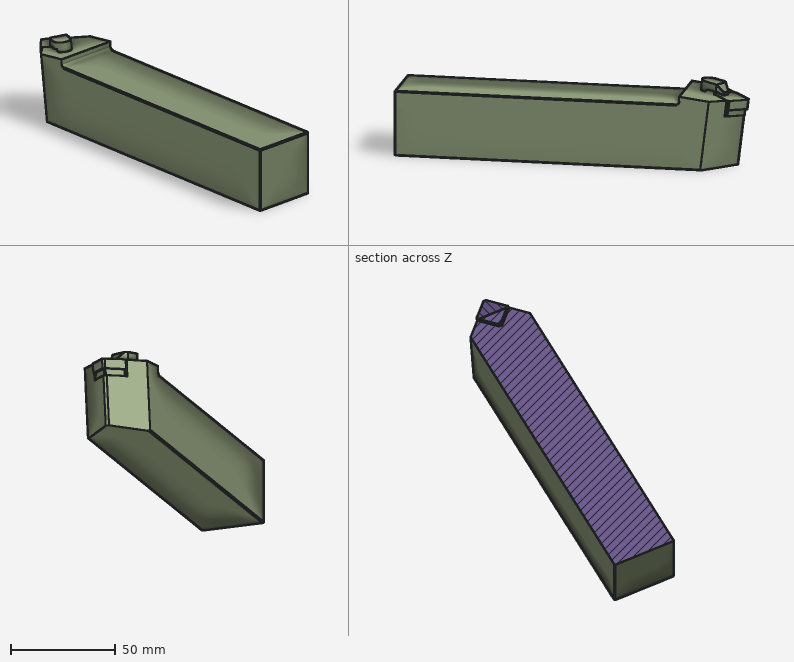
import cadquery as cq
import math

length = 169.7
shank_side = 32.0
half_side = shank_side / 2
edge_chamfer = 0.5

tilt = 7.0
tip_height = 32.2
crest_x = 30.7
step_radius = 1.5

insert_side = 12.9
insert_height = 4.8
insert_corner = 1.0
shim_side = 11.2
shim_height = 3.2
shim_corner = 0.7
insert_center = (insert_side - insert_corner) / math.sqrt(2)
seat_depth = insert_height + shim_height

nose_setback = 1.2
nose_half_width = 0.8
envelope_overshoot = 1.7
envelope_depth = 67.9

clamp_angle = -23.0
clamp_width = 8.8
clamp_height = 5.0
clamp_offset = 3.0
nose_start = 10.9
nose_height = 1.5
nose_right = 1.5
nose_left = 2.4
shoulder = 14.3
taper_end_right = 15.6
clamp_end = 24.8
gap_start_x = 12.2
gap_end_x = 21.7
gap_height = 1.4
gap_front_ramp = 3.2
gap_rear_ramp = 1.4

seat_plane = cq.Plane(origin=(0, 0, tip_height), xDir=(1, 0, 0), normal=(0, 0, 1)).rotated((0, -tilt, 0))


def square_plate(side, height, corner, depth):
    """Square plate, one corner toward the tip, its upper face at the given depth below the head."""
    return (
        cq.Workplane(seat_plane)
        .center(insert_center, 0)
        .transformed(rotate=(0, 0, 45), offset=(0, 0, -depth))
        .rect(side, side)
        .extrude(-height)
        .edges(cq.selectors.ParallelDirSelector(seat_plane.zDir))
        .chamfer(corner)
    )


def make_shank():
    """Square bar with eased long edges and rear end."""
    bar = cq.Workplane("XY").box(length, shank_side, shank_side, centered=(False, True, False))
    return bar.edges("|X or >X").chamfer(edge_chamfer)


def make_raised_head():
    """Wedge above the shank, with a tilted upper face and a concave rear step."""
    base_z = half_side
    step_end_x = crest_x + step_radius
    crest_z = tip_height + crest_x * math.tan(math.radians(tilt))
    return (
        cq.Workplane("XZ")
        .moveTo(0, base_z)
        .lineTo(0, tip_height)
        .lineTo(crest_x, crest_z)
        .lineTo(crest_x, shank_side + step_radius)
        .radiusArc((step_end_x, shank_side), -step_radius)
        .lineTo(step_end_x, base_z)
        .close()
        .extrude(half_side, both=True)
    )


def make_nose_envelope():
    """Pointed prism, square to the seat, that bounds the flanks of the head."""
    tip_u = nose_setback
    side_v = half_side + envelope_overshoot
    side_u = tip_u + side_v - nose_half_width
    rear_u = length + envelope_depth
    return (
        cq.Workplane(seat_plane)
        .polyline([
            (tip_u, -nose_half_width),
            (side_u, -side_v),
            (rear_u, -side_v),
            (rear_u, side_v),
            (side_u, side_v),
            (tip_u, nose_half_width),
        ])
        .close()
        .extrude(envelope_depth, both=True)
    )


def make_clamp():
    """Round-ended finger with a sloped nose, bridging from the head onto the insert."""
    half = clamp_width / 2
    clamp = (
        cq.Workplane(seat_plane)
        .transformed(rotate=(0, 0, clamp_angle))
        .center(0, clamp_offset)
        .moveTo(nose_start, -nose_right)
        .lineTo(taper_end_right, -half)
        .lineTo(clamp_end - half, -half)
        .threePointArc((clamp_end, 0), (clamp_end - half, half))
        .lineTo(shoulder, half)
        .lineTo(nose_start, nose_left)
        .close()
        .extrude(clamp_height)
    )
    slope = (
        cq.Workplane(seat_plane)
        .transformed(rotate=(0, 0, clamp_angle))
        .transformed(rotate=(90, 0, 0))
        .polyline([(nose_start, nose_height), (shoulder, clamp_height), (nose_start, clamp_height)])
        .close()
        .extrude(clamp_end, both=True)
    )
    gap = (
        cq.Workplane(seat_plane)
        .transformed(rotate=(90, 0, 0))
        .polyline([
            (gap_start_x, 0),
            (gap_start_x + gap_front_ramp, gap_height),
            (gap_end_x - gap_rear_ramp, gap_height),
            (gap_end_x, 0),
        ])
        .close()
        .extrude(clamp_end, both=True)
    )
    return clamp.cut(slope).cut(gap)


insert = square_plate(insert_side, insert_height, insert_corner, 0)
shim = square_plate(shim_side, shim_height, shim_corner, insert_height)
pocket = square_plate(insert_side, seat_depth, insert_corner, 0)

waste_above_seat = cq.Workplane(seat_plane).rect(2 * crest_x, 2 * shank_side).extrude(clamp_height)
holder = make_shank().union(make_raised_head()).cut(waste_above_seat).intersect(make_nose_envelope())
holder = holder.cut(pocket).union(shim).union(make_clamp())

result = cq.Compound.makeCompound([holder.val(), insert.val()])